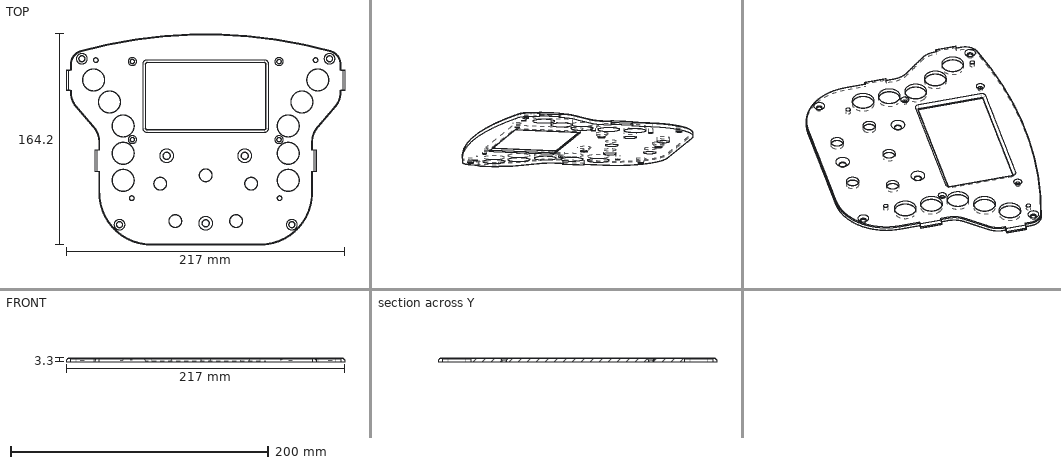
import cadquery as cq

THICKNESS = 3.3
HEIGHT = 164.2
WING_HALF_WIDTH = 105.2
BODY_HALF_WIDTH = 83.0
WING_TOP_Y = 148.8
WING_BOTTOM_Y = 112.3
BODY_TOP_Y = 86.5
TOP_CORNER_RADIUS = 11.0
FLANK_RADIUS = 17.3
BOTTOM_CORNER_RADIUS = 40.8
EDGE_CHAMFER = 0.7

WING_TAB_TIP_X = 108.5
WING_TAB_LENGTH = 15.8
BODY_TAB_TIP_X = 86.0
BODY_TAB_LENGTH = 17.0
TAB_BEVEL = 1.7
WING_TAB_Y = 128.2
BODY_TAB_Y = 65.5

WINDOW_WIDTH = 93.3
WINDOW_BOTTOM_Y = 89.8
WINDOW_TOP_Y = 141.8
WINDOW_CORNER_RADIUS = 0.9
WINDOW_BEVEL = 2.2
WINDOW_BEVEL_ANGLE = 45

BUTTON_DIAMETER = 17.0
BUTTON_COLUMN_X = 64.2
BUTTON_CENTRES = [
    (87.2, 128.4),
    (74.8, 111.3),
    (BUTTON_COLUMN_X, 92.5),
    (BUTTON_COLUMN_X, 71.4),
    (BUTTON_COLUMN_X, 50.3),
]
KEY_DIAMETER = 9.8
KEY_CENTRES = [(0, 54.2), (35.3, 47.7), (23.6, 18.7)]

PANEL_SCREW_DIAMETER = 5.5
PANEL_SCREW_HEAD_DIAMETER = 10.6
PANEL_SCREW_CENTRES = [(30.4, 69.5), (0, 17.0)]

CORNER_SCREW_DIAMETER = 4.5
CORNER_SCREW_HEAD_DIAMETER = 8.2
CORNER_SCREW_CENTRES = [(96.3, 144.9), (67.0, 15.8)]

DISPLAY_SCREW_DIAMETER = 3.3
DISPLAY_SCREW_HEAD_DIAMETER = 6.3
DISPLAY_SCREW_CENTRES = [(57.0, 142.7), (57.0, 82.0)]
SCREW_HEAD_ANGLE = 90

PIN_DIAMETER = 3.5
PIN_CENTRES = [(85.5, 143.8), (57.5, 36.5)]


def mirrored(centres):
    """Return the centres together with their mirror images across X = 0."""
    return centres + [(-x, y) for x, y in centres if x != 0]


def fillet_corners(plate, x, y, radius):
    """Round the pair of vertical edges at (-x, y) and (x, y)."""
    for side in (-1, 1):
        corner = cq.selectors.NearestToPointSelector((side * x, y, THICKNESS / 2))
        plate = plate.edges("|Z").edges(corner).fillet(radius)
    return plate


def make_plate():
    plate = (
        cq.Workplane("XY")
        .moveTo(-BODY_HALF_WIDTH, 0)
        .lineTo(BODY_HALF_WIDTH, 0)
        .lineTo(BODY_HALF_WIDTH, BODY_TOP_Y)
        .lineTo(WING_HALF_WIDTH, WING_BOTTOM_Y)
        .lineTo(WING_HALF_WIDTH, WING_TOP_Y)
        .threePointArc((0, HEIGHT), (-WING_HALF_WIDTH, WING_TOP_Y))
        .lineTo(-WING_HALF_WIDTH, WING_BOTTOM_Y)
        .lineTo(-BODY_HALF_WIDTH, BODY_TOP_Y)
        .close()
        .extrude(THICKNESS)
    )
    plate = fillet_corners(plate, WING_HALF_WIDTH, WING_TOP_Y, TOP_CORNER_RADIUS)
    plate = fillet_corners(plate, WING_HALF_WIDTH, WING_BOTTOM_Y, FLANK_RADIUS)
    plate = fillet_corners(plate, BODY_HALF_WIDTH, BODY_TOP_Y, FLANK_RADIUS)
    plate = fillet_corners(plate, BODY_HALF_WIDTH, 0, BOTTOM_CORNER_RADIUS)
    return plate.faces(">Z").chamfer(EDGE_CHAMFER)


def make_tab_pair(tip_x, centre_y, length):
    """A bar right across the plate whose bevelled ends stand out as two tabs."""
    top_x = tip_x - TAB_BEVEL
    shoulder_z = THICKNESS - TAB_BEVEL
    return (
        cq.Workplane("XZ", origin=(0, centre_y, 0))
        .polyline([
            (-tip_x, 0),
            (tip_x, 0),
            (tip_x, shoulder_z),
            (top_x, THICKNESS),
            (-top_x, THICKNESS),
            (-tip_x, shoulder_z),
        ])
        .close()
        .extrude(length / 2, both=True)
    )


def make_window():
    """Cutter for the display opening, flaring outwards at the top face."""
    window_height = WINDOW_TOP_Y - WINDOW_BOTTOM_Y
    centre_y = (WINDOW_TOP_Y + WINDOW_BOTTOM_Y) / 2
    opening = (
        cq.Workplane("XY")
        .center(0, centre_y)
        .rect(WINDOW_WIDTH, window_height)
        .extrude(THICKNESS)
        .edges("|Z")
        .fillet(WINDOW_CORNER_RADIUS)
    )
    flare = (
        cq.Workplane("XY", origin=(0, centre_y, THICKNESS))
        .sketch()
        .rect(WINDOW_WIDTH + 2 * WINDOW_BEVEL, window_height + 2 * WINDOW_BEVEL)
        .vertices()
        .fillet(WINDOW_CORNER_RADIUS + WINDOW_BEVEL)
        .finalize()
        .extrude(-WINDOW_BEVEL, taper=WINDOW_BEVEL_ANGLE)
    )
    return opening.union(flare)


def on_top(plate, centres):
    """Place the centres and their mirror images on the top face."""
    top = cq.Workplane("XY", origin=(0, 0, THICKNESS)).add(plate.val())
    return top.pushPoints(mirrored(centres))


result = make_plate()
result = result.union(make_tab_pair(WING_TAB_TIP_X, WING_TAB_Y, WING_TAB_LENGTH))
result = result.union(make_tab_pair(BODY_TAB_TIP_X, BODY_TAB_Y, BODY_TAB_LENGTH))
result = result.cut(make_window())
result = on_top(result, BUTTON_CENTRES).hole(BUTTON_DIAMETER)
result = on_top(result, KEY_CENTRES).hole(KEY_DIAMETER)
result = on_top(result, PIN_CENTRES).hole(PIN_DIAMETER)
result = on_top(result, PANEL_SCREW_CENTRES).cskHole(
    PANEL_SCREW_DIAMETER, PANEL_SCREW_HEAD_DIAMETER, SCREW_HEAD_ANGLE
)
result = on_top(result, CORNER_SCREW_CENTRES).cskHole(
    CORNER_SCREW_DIAMETER, CORNER_SCREW_HEAD_DIAMETER, SCREW_HEAD_ANGLE
)
result = on_top(result, DISPLAY_SCREW_CENTRES).cskHole(
    DISPLAY_SCREW_DIAMETER, DISPLAY_SCREW_HEAD_DIAMETER, SCREW_HEAD_ANGLE
)